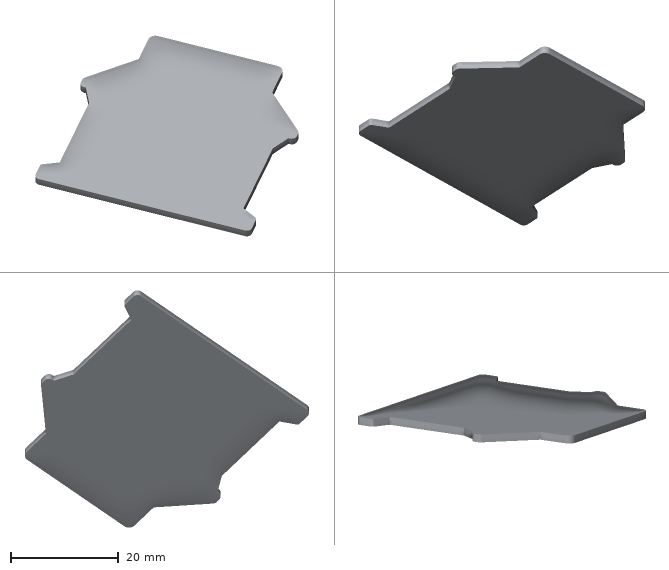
import cadquery as cq
import math

width = 42.5
depth = 42.45
thickness = 1.5

half_width = width / 2
neck_half_width = 13.15
body_half_width = 18.05
ear_base_half_width = 19.95

foot_top = 5.4
body_top = 21.9
ear_bottom = 25.37
shoulder_top = 35.6

foot_angle = math.radians(28)
shoulder_angle = math.radians(45)

corner_radius = 1.0
neck_radius = 1.3
foot_top_radius = 0.5

foot_side_top = foot_top - (half_width - body_half_width) * math.tan(foot_angle)
ear_side_top = shoulder_top - (half_width - neck_half_width) * math.tan(shoulder_angle)

right_side = [
    (half_width, 0),
    (half_width, foot_side_top),
    (body_half_width, foot_top),
    (body_half_width, body_top),
    (ear_base_half_width, ear_bottom),
    (half_width, ear_bottom),
    (half_width, ear_side_top),
    (neck_half_width, shoulder_top),
    (neck_half_width, depth),
]
left_side = [(-x, y) for x, y in reversed(right_side)]


def round_corners(plate, half_span, heights, radius):
    """Round the upright edges at +/- half_span in X and the given heights in Y."""
    reach = 0.05
    for side in (-1, 1):
        for height in heights:
            x = side * half_span
            corner = cq.selectors.BoxSelector(
                (x - reach, height - reach, -reach),
                (x + reach, height + reach, thickness + reach),
            )
            plate = plate.edges("|Z").edges(corner).fillet(radius)
    return plate


result = cq.Workplane("XY").polyline(right_side + left_side).close().extrude(thickness)

outer_corner_heights = [0, ear_bottom, ear_side_top]
result = round_corners(result, half_width, outer_corner_heights, corner_radius)
result = round_corners(result, half_width, [foot_side_top], foot_top_radius)
result = round_corners(result, neck_half_width, [depth], neck_radius)